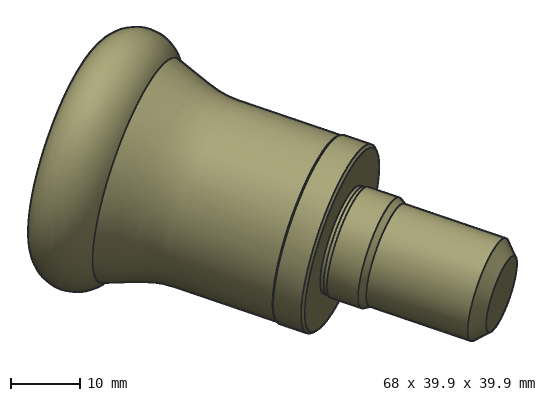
import cadquery as cq
import math


rim_outer_radius = 39.9 / 2
rim_tube_radius = 6.0
rim_tube_center_radius = rim_outer_radius - rim_tube_radius
recess_radius = 8.7
neck_start_x = 11.0
grip_start_x = 21.75
grip_radius = 28.6 / 2
flare_radius = 14.95
flare_angle = math.radians(20)
knob_end_x = 38.0

collar_radius = 29.0 / 2
collar_end_x = 43.0
collar_back_chamfer = 0.2
collar_front_chamfer = 0.4
relief_radius = 16.6 / 2
relief_end_x = 43.5
shoulder_radius = 17 / 2
shoulder_start_x = 44.1
shoulder_end_x = 49.0
pin_radius = 15.8 / 2
pin_start_x = 50.05
pin_end_x = 68.0
tip_chamfer = 2.05


def turn(profile):
    """Revolve a closed (X, radius) profile about the X axis."""
    return profile.close().revolve(360, (0, 0, 0), (1, 0, 0))


def make_knob():
    """Knob with a torus rim around a shallow flat recess."""
    floor_x = rim_tube_radius - math.sqrt(
        rim_tube_radius**2 - (rim_tube_center_radius - recess_radius) ** 2
    )
    neck_start_radius = rim_tube_center_radius + math.sqrt(
        rim_tube_radius**2 - (neck_start_x - rim_tube_radius) ** 2
    )
    flare_start_x = grip_start_x - flare_radius * math.sin(flare_angle)
    flare_start_radius = grip_radius + flare_radius * (1 - math.cos(flare_angle))
    flare_mid_x = grip_start_x - flare_radius * math.sin(flare_angle / 2)
    flare_mid_radius = grip_radius + flare_radius * (1 - math.cos(flare_angle / 2))

    return turn(
        cq.Workplane("XY")
        .moveTo(floor_x, 0)
        .lineTo(floor_x, recess_radius)
        .threePointArc((rim_tube_radius, rim_outer_radius), (neck_start_x, neck_start_radius))
        .lineTo(flare_start_x, flare_start_radius)
        .threePointArc((flare_mid_x, flare_mid_radius), (grip_start_x, grip_radius))
        .lineTo(knob_end_x, grip_radius)
        .lineTo(knob_end_x, 0)
    )


def make_plunger():
    """Chamfered collar, relief, shoulder and chamfered pin in one turned body."""
    return turn(
        cq.Workplane("XY")
        .moveTo(knob_end_x, 0)
        .lineTo(knob_end_x, collar_radius - collar_back_chamfer)
        .lineTo(knob_end_x + collar_back_chamfer, collar_radius)
        .lineTo(collar_end_x - collar_front_chamfer, collar_radius)
        .lineTo(collar_end_x, collar_radius - collar_front_chamfer)
        .lineTo(collar_end_x, relief_radius)
        .lineTo(relief_end_x, relief_radius)
        .lineTo(shoulder_start_x, shoulder_radius)
        .lineTo(shoulder_end_x, shoulder_radius)
        .lineTo(pin_start_x, pin_radius)
        .lineTo(pin_end_x - tip_chamfer, pin_radius)
        .lineTo(pin_end_x, pin_radius - tip_chamfer)
        .lineTo(pin_end_x, 0)
    )


knob = make_knob()
plunger = make_plunger()
result = cq.Compound.makeCompound([knob.val(), plunger.val()])